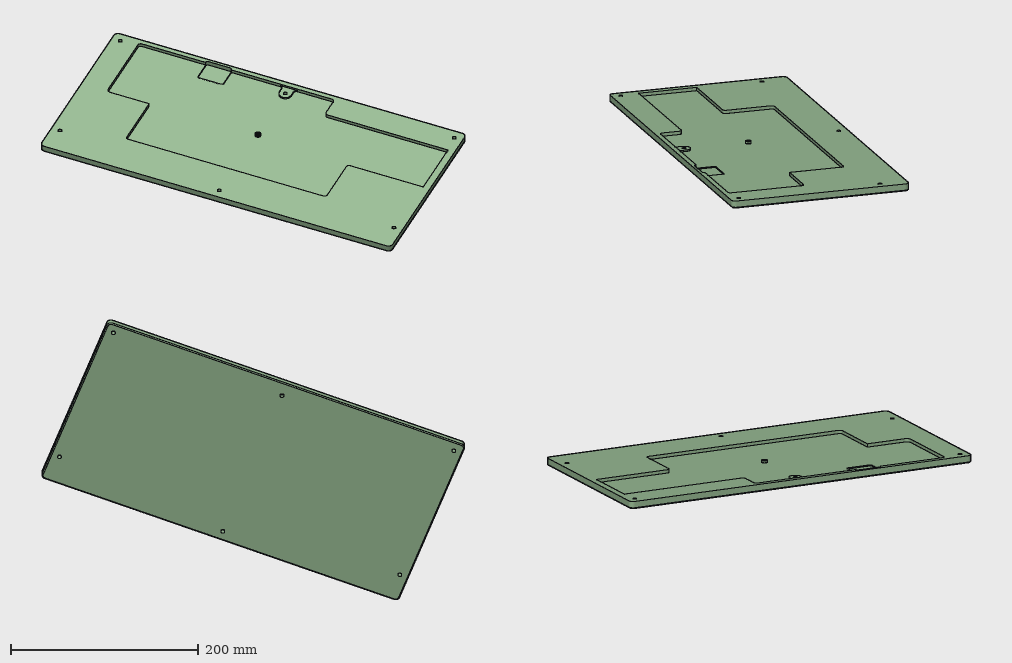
import cadquery as cq

length = 410
width = 200.0
thickness = 8
corner_radius = 5.0
bottom_chamfer = 1.2

pocket_depth = 3.5
pocket_left = -175.0
pocket_right = 197.2
pocket_back = 94.5
pocket_front = -53.5
back_step_x = 53.5
back_step_y = 69.0
left_step_x = -125.5
left_step_y = 8.5
right_step_x = 108.5
right_step_y = 3.3
pocket_radius = 3.3
large_pocket_radius = 5.0

recess_left = -97.0
recess_right = -67.5
recess_back = 96.8
recess_front = 72.5
recess_depth = 5.0
recess_radius = 2.0

hole_diameter = 4.0
corner_hole_x = 195.0
back_hole_y = 89.8
front_hole_y = -69.5
middle_front_hole_y = -89.8

tab_radius = 7.0
tab_hole_y = 85.0
tab_height = 1.5
tab_root_radius = 3.0

standoff_y = 12.5
standoff_diameter = 6.0
standoff_height = 2.5

floor_z = thickness - pocket_depth


def make_plate():
    plate = cq.Workplane("XY").box(length, width, thickness, centered=(True, True, False))
    return plate.edges("|Z").fillet(corner_radius).faces("<Z").edges().chamfer(bottom_chamfer)


def fillet_vertical_edge(body, x, y, radius):
    middle = (x, y, thickness - pocket_depth / 2)
    return body.edges(cq.NearestToPointSelector(middle)).fillet(radius)


def make_pocket():
    outline = [
        (pocket_left, pocket_back),
        (back_step_x, pocket_back),
        (back_step_x, back_step_y),
        (pocket_right, back_step_y),
        (pocket_right, right_step_y),
        (right_step_x, right_step_y),
        (right_step_x, pocket_front),
        (left_step_x, pocket_front),
        (left_step_x, left_step_y),
        (pocket_left, left_step_y),
    ]
    pocket = cq.Workplane("XY").workplane(offset=floor_z).polyline(outline).close().extrude(pocket_depth)
    rounded_corners = [
        (pocket_left, pocket_back),
        (back_step_x, pocket_back),
        (back_step_x, back_step_y),
        (right_step_x, right_step_y),
        (right_step_x, pocket_front),
        (left_step_x, pocket_front),
    ]
    for x, y in rounded_corners:
        pocket = fillet_vertical_edge(pocket, x, y, pocket_radius)
    return fillet_vertical_edge(pocket, pocket_left, left_step_y, large_pocket_radius)


def make_recess():
    recess = (
        cq.Workplane("XY")
        .workplane(offset=thickness - recess_depth)
        .center((recess_left + recess_right) / 2, (recess_front + recess_back) / 2)
        .rect(recess_right - recess_left, recess_back - recess_front)
        .extrude(recess_depth)
    )
    return recess.edges("|Z").fillet(recess_radius)


def make_tab():
    root_half_width = tab_radius + tab_root_radius
    root_y = pocket_back - tab_root_radius
    return (
        cq.Workplane("XY")
        .workplane(offset=floor_z)
        .moveTo(-root_half_width, pocket_back)
        .radiusArc((-tab_radius, root_y), tab_root_radius)
        .lineTo(-tab_radius, tab_hole_y)
        .threePointArc((0, tab_hole_y - tab_radius), (tab_radius, tab_hole_y))
        .lineTo(tab_radius, root_y)
        .radiusArc((root_half_width, pocket_back), tab_root_radius)
        .close()
        .extrude(tab_height)
    )


def make_standoff():
    base = cq.Workplane("XY").workplane(offset=floor_z).center(0, standoff_y)
    return base.circle(standoff_diameter / 2).circle(hole_diameter / 2).extrude(standoff_height)


def make_holes():
    centres = [(0, tab_hole_y), (0, middle_front_hole_y)]
    for x in (-corner_hole_x, corner_hole_x):
        centres += [(x, back_hole_y), (x, front_hole_y)]
    return cq.Workplane("XY").pushPoints(centres).circle(hole_diameter / 2).extrude(thickness)


result = make_plate().cut(make_pocket()).cut(make_recess())
result = result.union(make_tab()).union(make_standoff()).cut(make_holes())